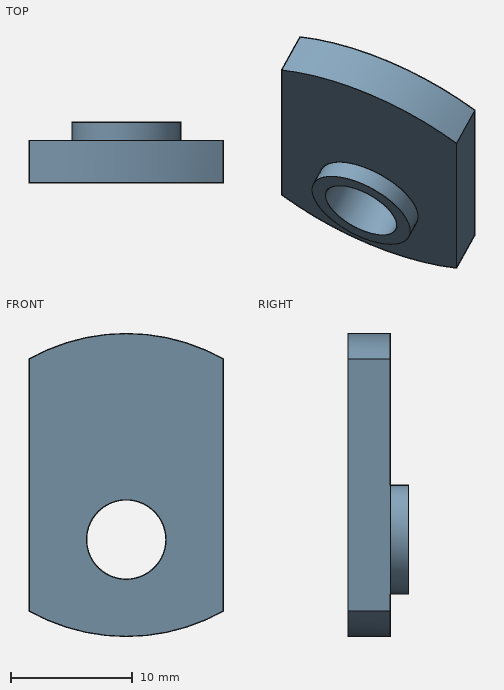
import cadquery as cq

height = 24.95
width = 16.0
plate_thickness = 3.5
end_rise = 2.1

total_depth = 5.0
boss_diameter = 8.99
hole_diameter = 6.51
hole_height = 7.99

half_width = width / 2
top = height / 2
corner = top - end_rise
hole_z = hole_height - top


def cylinder_along_y(diameter, start, end):
    """Cylinder on the hole axis, from Y = start to Y = end."""
    return (
        cq.Workplane("XZ", origin=(0, start, 0))
        .center(0, hole_z)
        .circle(diameter / 2)
        .extrude(start - end)
    )


plate = (
    cq.Workplane("XZ")
    .moveTo(-half_width, -corner)
    .threePointArc((0, -top), (half_width, -corner))
    .lineTo(half_width, corner)
    .threePointArc((0, top), (-half_width, corner))
    .close()
    .extrude(-plate_thickness)
)
boss = cylinder_along_y(boss_diameter, plate_thickness, total_depth)
hole = cylinder_along_y(hole_diameter, 0, total_depth)

result = plate.union(boss).cut(hole)